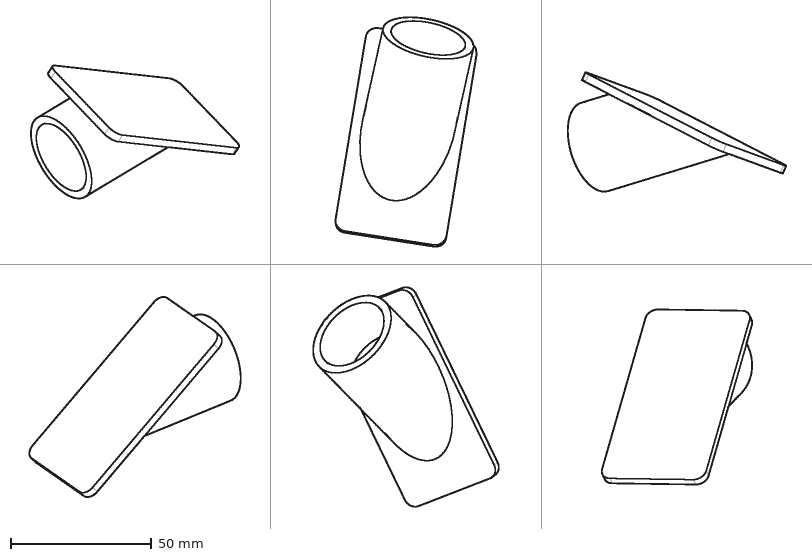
import cadquery as cq

plate_width = 40.0
plate_length = 75.0
plate_thickness = 3.0
corner_radius = 4.0
side_tilt = 7.2
slope = 36.4

outer_diameter = 33.0
bore_diameter = 27.0
bore_depth = 20.0

plate_centre = (0.0, 40.0, 0.0)


def tilt(body):
    """Turn a body from the flat plate frame into its sloping position."""
    body = body.rotate((0, 0, 0), (0, 1, 0), side_tilt)
    body = body.rotate((0, 0, 0), (1, 0, 0), -slope)
    return body.translate(plate_centre)


def make_plate():
    plate = cq.Workplane("XY").rect(plate_width, plate_length).extrude(-plate_thickness)
    return tilt(plate.edges("|Z").fillet(corner_radius))


def cylinder_along_y(diameter, length):
    """Cylinder running in +Y from the open end of the tube."""
    return cq.Workplane("XZ").circle(diameter / 2).extrude(-length)


def space_above_underside():
    """Large block filling everything above the underside of the plate."""
    size = 4 * plate_length
    block = cq.Workplane("XY").workplane(offset=-plate_thickness).rect(size, size).extrude(size)
    return tilt(block)


tube_body = cylinder_along_y(outer_diameter, 2 * plate_length).cut(space_above_underside())
bore = cylinder_along_y(bore_diameter, bore_depth)

result = make_plate().union(tube_body).cut(bore)